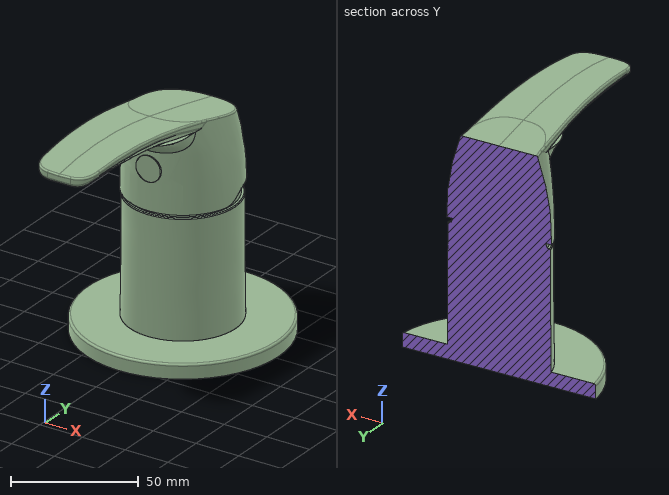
import cadquery as cq
import math

plate_radius = 89.9 / 2
plate_height = 6.7
plate_round = 0.9
sleeve_foot_radius = 24.6
sleeve_top_radius = 24.4
sleeve_top = 60.0
sleeve_chamfer = 0.4

neck_foot_radius = 22.9
neck_top_radius = 20.2
neck_top = 67.2

cap_sections = [
    (61.6, 24.9, -24.8, 25.0, 2.0),
    (81.2, 23.2, -24.5, 24.1, 2.15),
    (93.2, 19.8, -24.1, 21.3, 2.5),
    (106.0, 14.9, -23.7, 16.6, 2.7),
]
section_points = 32
skirt_front = 61.6
skirt_back = 66.5
skirt_step_front = -6.7
skirt_step_back = 7.3

tip_y = plate_radius - 133.1
crown = [(tip_y - 1.3, 103.3), (-64.6, 106.0), (-35.7, 104.4), (-6.7, 99.0), (21.3, 92.8), (26.6, 91.5)]

knuckle_sections = [
    (81.2, 14.6, -23.7, 0.0, 2.0),
    (87.5, 15.7, -24.2, 0.0, 2.2),
    (92.4, 16.2, -27.0, 0.0, 2.4),
    (96.7, 16.2, -37.3, 0.0, 2.5),
]

lever_root_y = -2.7
lever_sections = [
    (tip_y - 0.7, 102.5, 99.8),
    (-71.9, 103.7, 98.1),
    (-54.6, 103.8, 97.2),
    (-37.3, 102.5, 95.9),
    (-20.0, 99.0, 93.2),
    (lever_root_y, 95.2, 87.9),
]
lever_root_width = 17.8
lever_tip_width = 13.3
lever_tip_start = -79.2
lever_blank_height = 133.1
lever_trim_stock = 5.3
lever_tip_flat = 5.3
lever_tip_bow = 0.3
top_edge_round = 0.8
tip_round = 1.3
tip_bottom_limit = 101.2

plug_radius = 5.7
plug_height = 79.9
plug_face_y = -24.8
plug_depth = 5.3

margin = 53.3
tolerance = 0.1


def base():
    plate = cq.Workplane("XY").circle(plate_radius).extrude(plate_height)
    plate = plate.faces(">Z").edges().fillet(plate_round)
    stem = (
        cq.Workplane("XZ")
        .moveTo(0, 0)
        .lineTo(sleeve_foot_radius, 0)
        .lineTo(sleeve_foot_radius, plate_height)
        .lineTo(sleeve_top_radius, sleeve_top - sleeve_chamfer)
        .lineTo(sleeve_top_radius - sleeve_chamfer, sleeve_top)
        .lineTo(neck_foot_radius, sleeve_top)
        .lineTo(neck_top_radius, neck_top)
        .lineTo(0, neck_top)
        .close()
        .revolve(360, (0, 0), (0, 1))
    )
    return plate.union(stem)


def level_section(height, half_width, front, back, exponent):
    """Closed superellipse of the given extents in a horizontal plane."""
    middle = (front + back) / 2
    half_depth = (back - front) / 2
    points = []
    for i in range(section_points):
        angle = 2 * math.pi * i / section_points
        c = math.cos(angle)
        s = math.sin(angle)
        x = half_width * math.copysign(abs(c) ** (2 / exponent), c)
        y = middle + half_depth * math.copysign(abs(s) ** (2 / exponent), s)
        points.append(cq.Vector(x, y, height))
    return cq.Wire.assembleEdges([cq.Edge.makeSpline(points, periodic=True)])


def stacked_body(sections):
    """Smooth body through a stack of horizontal sections."""
    return cq.Workplane(cq.Solid.makeLoft([level_section(*section) for section in sections]))


def below_crown():
    """Everything under the crowned top."""
    return (
        cq.Workplane("YZ")
        .moveTo(*crown[0])
        .spline(crown[1:], includeCurrent=True)
        .lineTo(crown[-1][0], 0)
        .lineTo(crown[0][0], 0)
        .close()
        .extrude(margin, both=True)
    )


def skirt_cutter():
    """Space below the cap's S-shaped lower edge."""
    return (
        cq.Workplane("YZ")
        .moveTo(-margin, skirt_front)
        .lineTo(skirt_step_front, skirt_front)
        .spline([(skirt_step_back, skirt_back)], tangents=[(1, 0), (1, 0)], includeCurrent=True)
        .lineTo(margin, skirt_back)
        .lineTo(margin, 0)
        .lineTo(-margin, 0)
        .close()
        .extrude(margin, both=True)
    )


def cap():
    return stacked_body(cap_sections).intersect(below_crown()).cut(skirt_cutter())


def lever_half_width(y):
    """Half width of the straight-sided lever at a given y."""
    taper = (lever_root_width - lever_tip_width) / (lever_root_y - lever_tip_start)
    return lever_tip_width + taper * (y - lever_tip_start)


def lever_section(y, lip, underside):
    """Flat-topped bowl in the plane at y; its top is trimmed later by the crown."""
    half = lever_half_width(y)
    top = lip + lever_trim_stock
    left_top = cq.Vector(-half, y, top)
    right_top = cq.Vector(half, y, top)
    left_lip = cq.Vector(-half, y, lip)
    right_lip = cq.Vector(half, y, lip)
    bowl = cq.Edge.makeSpline(
        [right_lip, cq.Vector(0, y, underside), left_lip],
        tangents=[cq.Vector(-0.5, 0, -1), cq.Vector(-1, 0, 0), cq.Vector(-0.5, 0, 1)],
    )
    return cq.Wire.assembleEdges([
        cq.Edge.makeLine(left_top, right_top),
        cq.Edge.makeLine(right_top, right_lip),
        bowl,
        cq.Edge.makeLine(left_lip, left_top),
    ])


def lever_outline():
    """Plan shape with a softly rounded tip."""
    tip = lever_tip_width
    along_side = (tip - lever_root_width, lever_tip_start - lever_root_y)
    return (
        cq.Workplane("XY")
        .moveTo(lever_root_width, lever_root_y)
        .lineTo(tip, lever_tip_start)
        .spline(
            [(lever_tip_flat, tip_y + lever_tip_bow)],
            tangents=[along_side, (-1, -0.1)],
            includeCurrent=True,
        )
        .threePointArc((0, tip_y), (-lever_tip_flat, tip_y + lever_tip_bow))
        .spline(
            [(-tip, lever_tip_start)],
            tangents=[(-1, 0.1), (along_side[0], -along_side[1])],
            includeCurrent=True,
        )
        .lineTo(-lever_root_width, lever_root_y)
        .close()
        .extrude(lever_blank_height)
    )


def lever():
    blade = cq.Workplane(cq.Solid.makeLoft([lever_section(*section) for section in lever_sections]))
    return blade.intersect(lever_outline()).intersect(below_crown())


def is_tip_bottom(edge):
    """Lower edges of the lever's rounded tip, apart from the short upright ones."""
    box = edge.BoundingBox()
    past_sides = box.ymax < lever_tip_start + tolerance
    return past_sides and box.zmin < tip_bottom_limit and box.xlen > tolerance


def crown_rim(body):
    """Outer edges of the crowned top, leaving out the seams between its faces."""
    lowest = crown[-2][1]
    upward = 0.8
    top_faces = [f for f in body.faces().vals() if f.normalAt().z > upward and f.Center().z > lowest]
    edges = [edge for face in top_faces for edge in face.Edges()]
    return [edge for edge in edges if sum(edge.isSame(other) for other in edges) == 1]


def head():
    """Cap and lever with rounded edges, joined by the knuckle."""
    body = cap().union(lever())
    body = body.newObject([e for e in body.edges().vals() if is_tip_bottom(e)]).fillet(tip_round)
    body = body.newObject(crown_rim(body)).fillet(top_edge_round)
    return body.union(stacked_body(knuckle_sections))


def plug():
    return (
        cq.Workplane("XZ", origin=(0, plug_face_y, plug_height))
        .circle(plug_radius)
        .extrude(-plug_depth)
    )


result = base().union(head()).union(plug())